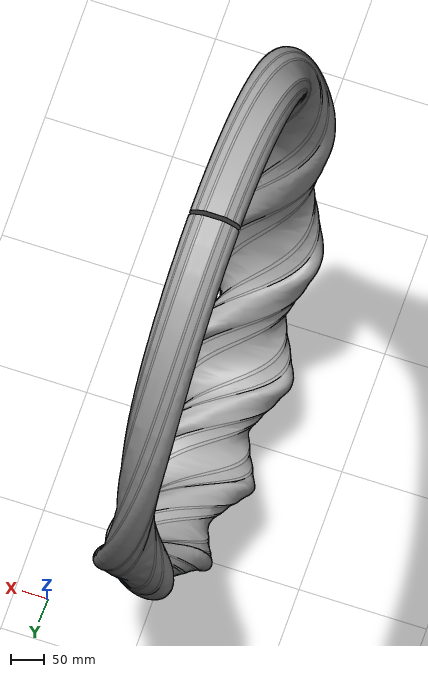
import cadquery as cq
import math

RING_RADIUS = 386.0
END_GAP = 7.0

HALF_WIDTH = 40.0
FLAT_EDGE = (14.0, 23.0)
SHOULDER_TOP = (18.0, 22.0)
SHOULDER_FOOT = (28.0, 17.0)
ROUND_EDGE = (30.5, 15.0)

HALF_TWIST = math.radians(-3.5 * 180)
TWIST_EASING = 0.93
BOTTOM_STRETCH = 2.35
STRETCH_POWER = 1.8
SECTION_COUNT = 121


def twist_at(angle):
    """Roll of the section, slow near the gap and fastest at the bottom of the ring."""
    return HALF_TWIST * (angle - TWIST_EASING * math.sin(angle)) / math.pi


def stretch_at(angle):
    """Scale along X; 1 at the gap, full at the bottom."""
    depth = (1 - math.cos(angle)) / 2
    return 1 + (BOTTOM_STRETCH - 1) * depth**STRETCH_POWER


def profile_points():
    """Section corners counterclockwise from the upper right, with a point inside each side."""
    quarter = [ROUND_EDGE, SHOULDER_FOOT, SHOULDER_TOP, FLAT_EDGE]
    left_top = [(-x, y) for x, y in reversed(quarter)]
    left_bottom = [(-x, -y) for x, y in quarter]
    right_bottom = [(x, -y) for x, y in reversed(quarter)]
    corners = quarter + left_top + left_bottom + right_bottom
    points = []
    for start, end in zip(corners, corners[1:] + corners[:1]):
        middle = ((start[0] + end[0]) / 2, (start[1] + end[1]) / 2)
        if middle[1] == 0:
            middle = (math.copysign(HALF_WIDTH, middle[0]), 0)
        points += [start, middle]
    return points


def section(angle, points):
    """Closed section wire at an angle around the X axis from the top of the ring."""
    twist = twist_at(angle)
    stretch = stretch_at(angle)
    placed = []
    for across, outward in points:
        x = stretch * (across * math.cos(twist) - outward * math.sin(twist))
        radius = RING_RADIUS + across * math.sin(twist) + outward * math.cos(twist)
        placed.append(cq.Vector(x, radius * math.sin(angle), radius * math.cos(angle)))
    placed.append(placed[0])

    edges = []
    for i in range(0, len(points), 2):
        start, middle, end = placed[i:i + 3]
        if points[i + 1][1] == 0:
            edges.append(cq.Edge.makeThreePointArc(start, middle, end))
        else:
            edges.append(cq.Edge.makeLine(start, end))
    return cq.Wire.assembleEdges(edges)


def twisted_ring():
    """One smooth solid through sections evenly spaced from one free end to the other."""
    end_angle = math.asin(END_GAP / 2 / RING_RADIUS)
    step = 2 * (math.pi - end_angle) / (SECTION_COUNT - 1)
    profile = profile_points()
    sections = [section(end_angle + index * step, profile) for index in range(SECTION_COUNT)]
    return cq.occ_impl.shapes.loft(sections, cap=True, compat=False)


result = cq.Workplane(obj=twisted_ring())